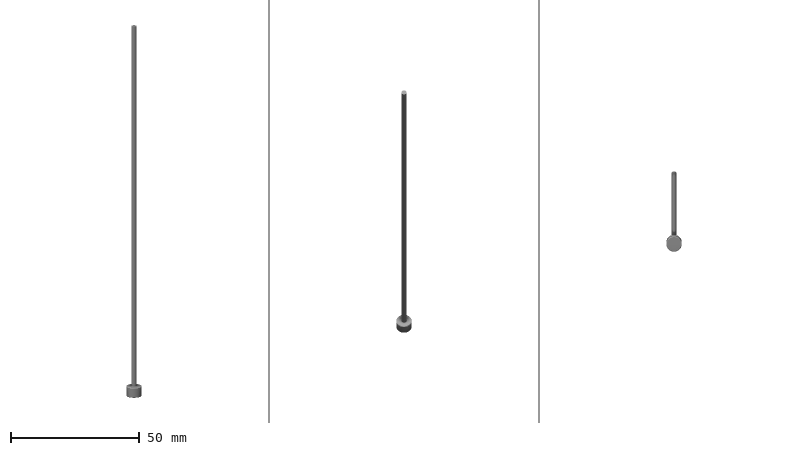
import cadquery as cq

TOTAL_LENGTH = 150.0
HEAD_DIAMETER = 6.0
HEAD_HEIGHT = 4.0
HEAD_CHAMFER = 0.2
PIN_DIAMETER = 2.0
ROOT_FILLET = 0.2


def make_head():
    """Cylindrical head standing on the XY plane, chamfered at both rims."""
    head = cq.Workplane("XY").circle(HEAD_DIAMETER / 2).extrude(HEAD_HEIGHT)
    return head.faces("|Z").edges().chamfer(HEAD_CHAMFER)


def add_pin(head):
    """Slender round pin rising from the head to the full length."""
    pin_length = TOTAL_LENGTH - HEAD_HEIGHT
    return head.faces(">Z").workplane().circle(PIN_DIAMETER / 2).extrude(pin_length)


def round_pin_root(part):
    """Fillet the inside corner where the pin meets the head."""
    smallest_circles = cq.selectors.RadiusNthSelector(0)
    return part.edges(smallest_circles).edges("<Z").fillet(ROOT_FILLET)


result = round_pin_root(add_pin(make_head()))